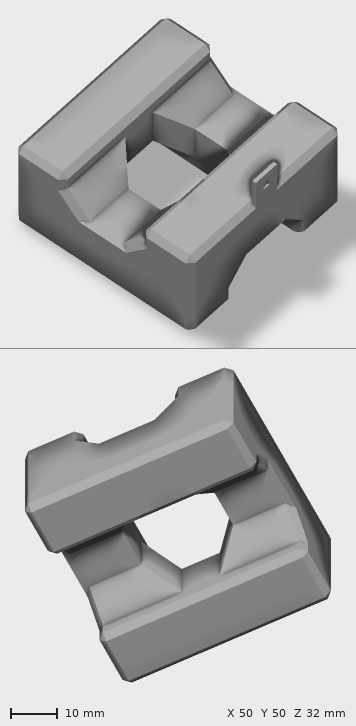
import cadquery as cq
import math

side = 50.0
height = 25.0
chamfer = 1.5

channel_width = 22.0
channel_depth = channel_width / 2
corner_offset = channel_depth * math.tan(math.radians(22.5))
floor_height = height / 2 - channel_depth

tab_thickness = 1.0
tab_width = 7.0
tab_rise = 7.0
tab_hole = 2.0


def make_channel():
    """Half-octagon trough along Y, open at the top of the block."""
    top = height / 2
    return (
        cq.Workplane("XZ")
        .moveTo(-channel_width / 2, top)
        .lineTo(-channel_width / 2, top - corner_offset)
        .lineTo(-corner_offset, floor_height)
        .lineTo(corner_offset, floor_height)
        .lineTo(channel_width / 2, top - corner_offset)
        .lineTo(channel_width / 2, top)
        .close()
        .extrude(side / 2, both=True)
    )


def is_chamfered(edge):
    """True for upright edges and for edges above or below the channel floors."""
    upright = math.isclose(edge.BoundingBox().zlen, edge.Length(), rel_tol=0.001)
    beyond_floors = abs(edge.Center().z) > 2 * floor_height
    return upright or beyond_floors


def make_block():
    """Block with a top channel along Y, a bottom channel along X and broken outer edges."""
    top_channel = make_channel()
    bottom_channel = top_channel.rotate((0, 0, 0), (1, 0, 0), 180).rotate((0, 0, 0), (0, 0, 1), 90)
    block = cq.Workplane("XY").box(side, side, height).cut(top_channel).cut(bottom_channel)

    outer_edges = block.faces("<X or >X or <Y or >Y or <Z or >Z").edges()
    return outer_edges.filter(is_chamfered).chamfer(chamfer)


def make_opening():
    """Octagonal prism through the full height, as wide as the channels."""
    across_corners = channel_width / math.cos(math.radians(22.5))
    return (
        cq.Workplane("XY")
        .polygon(8, across_corners)
        .extrude(height, both=True)
        .rotate((0, 0, 0), (0, 0, 1), 22.5)
    )


def make_tab():
    """Tab flush with the +X face, rooted at the lower edge of the top chamfer."""
    root = height / 2 - chamfer
    tip = height / 2 + tab_rise
    middle_x = (side - tab_thickness) / 2
    tab = cq.Workplane("XY").box(tab_thickness, tab_width, tip - root)
    tab = tab.translate((middle_x, 0, (tip + root) / 2))
    hole = cq.Workplane("XY").box(2 * tab_thickness, tab_hole, tab_hole)
    return tab.cut(hole.translate((middle_x, 0, height / 2 + tab_rise / 2)))


result = make_block().cut(make_opening()).union(make_tab())